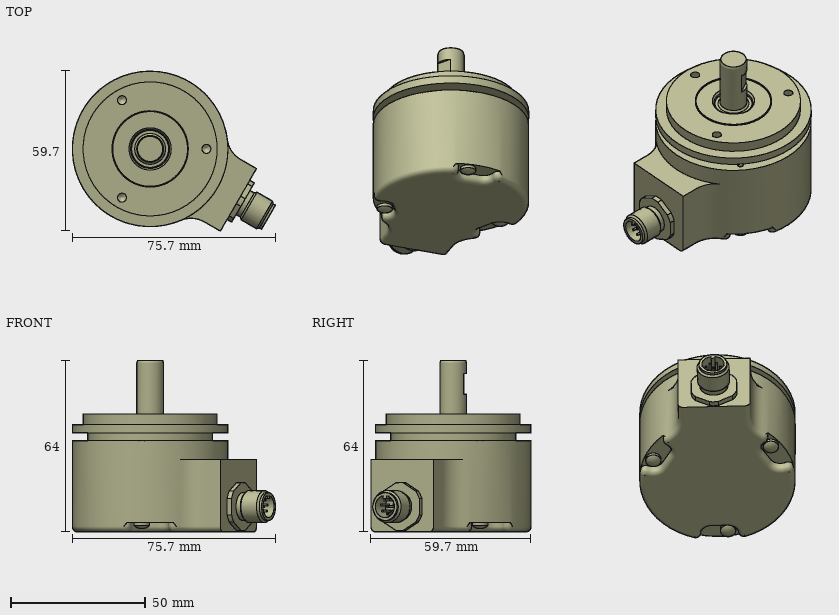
import cadquery as cq
import math


POCKET_ROOF_Z = 3.5
CONNECTOR_Z = 9.5
BLOCK_TOP_Z = 27.1
HOUSING_TOP_Z = 34.1
GROOVE_TOP_Z = 37.0
DISC_TOP_Z = 40.0
FLANGE_TOP_Z = 44.0
SHAFT_TOP_Z = 64.0

BODY_R = 29.0
GROOVE_R = 23.3
FLANGE_R = 25.0
SHAFT_R = 5.0

SHAFT_TIP_R = 4.7
SHAFT_CHAMFER_HEIGHT = 1.0
COLLAR_R = 5.75
COLLAR_HEIGHT = 0.7
FLAT_DEPTH = 1.0
FLAT_LENGTH = 7.6
FLAT_TOP_Z = SHAFT_TOP_Z - 5.0

RECESS_R = 6.9
RECESS_MOUTH_R = 7.9
RECESS_DEPTH = 1.3
RECESS_STEP_R = 7.3
RECESS_STEP_DEPTH = 1.0
RING_GROOVE_OUTER_R = 14.25
RING_GROOVE_INNER_R = 13.95
RING_GROOVE_DEPTH = 0.3

MOUNT_COUNT = 3
MOUNT_CIRCLE_R = 21.0
MOUNT_HOLE_R = 1.7
MOUNT_HOLE_DEPTH = 10.0
DRILL_TIP_ANGLE = 118.0

BLOCK_ANGLE = -30.0
BLOCK_REACH = 38.0
BLOCK_HALF_WIDTH = 13.5
BLOCK_BLEND_R = 10.0
BOTTOM_FILLET_R = 2.0

POCKET_ANGLES = (60.0, 180.0, 300.0)
POCKET_HALF_WIDTH = 7.05
POCKET_WALL_R = 21.6
POCKET_CORNER_R = 4.2
POCKET_MOUTH_R = 2.05
MOUTH_TOP_HALF_WIDTH = 8.7
MOUTH_LOW_HALF_WIDTH = 9.85
SCREW_OFFSET_ANGLE = -7.0
SCREW_CIRCLE_R = 25.6
SCREW_HEAD_R = 2.9
SCREW_HEAD_EDGE_Z = 2.35
SCREW_HEAD_TIP_Z = 1.2
SCREW_TIP_DIMPLE_R = 1.05
SCREW_TIP_DIMPLE_DEPTH = 0.3

NUT_ACROSS_FLATS = 17.0
NUT_CORNER_R = 9.0
NUT_THICKNESS = 2.0
NUT_TURN_ANGLE = 30.0
PLUG_LENGTH = 12.95
PLUG_R = 6.0
PLUG_NECK_R = 5.2
PLUG_SHOULDER_START = 3.8
PLUG_SHOULDER_END = 12.0
PLUG_CHAMFER = PLUG_R - PLUG_NECK_R
SOCKET_R = 4.1
SOCKET_DEPTH = 7.6
PIN_R = 0.4
PIN_RECESS = 2.0
PIN_CIRCLE_R = 2.7
OUTER_PIN_COUNT = 7
KEY_WIDTH = 1.4
KEY_HEIGHT = 1.0


def cylinder(radius, bottom, top):
    """Upright cylinder on the Z axis between two heights."""
    return cq.Workplane("XY").workplane(offset=bottom).circle(radius).extrude(top - bottom)


def turned(points):
    """Revolve a half section of (radius, height) points about the Z axis."""
    return cq.Workplane("XZ").polyline(points).close().revolve(360, (0, 0, 0), (0, 1, 0))


def polar(radius, angle):
    """Plan position at a radius and an angle in degrees."""
    return radius * math.cos(math.radians(angle)), radius * math.sin(math.radians(angle))


def block_prism(height):
    """Side block pointing along +X, its flanks blended into the round body by arcs."""
    centre_y = BLOCK_HALF_WIDTH + BLOCK_BLEND_R
    centre_x = math.sqrt((BODY_R + BLOCK_BLEND_R) ** 2 - centre_y ** 2)
    centre_angle = math.degrees(math.atan2(centre_y, centre_x))
    body_x, body_y = polar(BODY_R, centre_angle)
    mid_angle = (centre_angle + 180 + 270) / 2
    step_x, step_y = polar(BLOCK_BLEND_R, mid_angle)
    mid_x = centre_x + step_x
    mid_y = centre_y + step_y
    return (
        cq.Workplane("XY")
        .lineTo(body_x, -body_y)
        .threePointArc((mid_x, -mid_y), (centre_x, -BLOCK_HALF_WIDTH))
        .lineTo(BLOCK_REACH, -BLOCK_HALF_WIDTH)
        .lineTo(BLOCK_REACH, BLOCK_HALF_WIDTH)
        .lineTo(centre_x, BLOCK_HALF_WIDTH)
        .threePointArc((mid_x, mid_y), (body_x, body_y))
        .close()
        .extrude(height)
    )


def pocket():
    """Screw pocket opening along +X, with round inner corners."""
    reach = 2 * (BODY_R - POCKET_WALL_R)
    slot = (
        cq.Workplane("XY")
        .center(POCKET_WALL_R + reach / 2, 0)
        .rect(reach, 2 * POCKET_HALF_WIDTH)
        .extrude(POCKET_ROOF_Z)
    )
    return slot.edges("|Z and <X").fillet(POCKET_CORNER_R)


def bottom_rim():
    """Lowest layer of the housing: pockets cut in, bottom edge rounded except at the block face."""
    rim = cylinder(BODY_R, 0, POCKET_ROOF_Z).union(block_prism(POCKET_ROOF_Z))
    for angle in POCKET_ANGLES:
        rim = rim.cut(pocket().rotate((0, 0, 0), (0, 0, 1), angle))
    corner_x = math.sqrt(BODY_R ** 2 - POCKET_HALF_WIDTH ** 2)
    corner_angle = math.degrees(math.atan2(POCKET_HALF_WIDTH, corner_x))
    for angle in POCKET_ANGLES:
        for side in (-1, 1):
            x, y = polar(BODY_R, angle + side * corner_angle)
            corner = cq.selectors.NearestToPointSelector((x, y, POCKET_ROOF_Z / 2))
            rim = rim.edges("|Z").edges(corner).fillet(POCKET_MOUTH_R)
    return rim.faces("<Z").edges("not(>X)").fillet(BOTTOM_FILLET_R)


def mouth_shoulders():
    """Plate above the bottom fillet whose sloping channels narrow each pocket mouth toward its roof."""
    plate = cylinder(BODY_R, BOTTOM_FILLET_R, POCKET_ROOF_Z)
    channel = (
        cq.Workplane("YZ")
        .polyline([
            (-MOUTH_LOW_HALF_WIDTH, BOTTOM_FILLET_R),
            (-MOUTH_TOP_HALF_WIDTH, POCKET_ROOF_Z),
            (MOUTH_TOP_HALF_WIDTH, POCKET_ROOF_Z),
            (MOUTH_LOW_HALF_WIDTH, BOTTOM_FILLET_R),
        ])
        .close()
        .extrude(BODY_R)
    )
    for angle in POCKET_ANGLES:
        plate = plate.cut(channel.rotate((0, 0, 0), (0, 0, 1), angle))
    return plate


def screw_head():
    """Domed screw head hanging from the pocket roof, centred on the Z axis."""
    dome_height = SCREW_HEAD_EDGE_Z - SCREW_HEAD_TIP_Z
    sphere_r = (SCREW_HEAD_R ** 2 + dome_height ** 2) / (2 * dome_height)
    dome_r = SCREW_HEAD_R / 2
    dome_z = SCREW_HEAD_TIP_Z + sphere_r - math.sqrt(sphere_r ** 2 - dome_r ** 2)
    return (
        cq.Workplane("XZ")
        .moveTo(0, POCKET_ROOF_Z)
        .lineTo(SCREW_HEAD_R, POCKET_ROOF_Z)
        .lineTo(SCREW_HEAD_R, SCREW_HEAD_EDGE_Z)
        .threePointArc((dome_r, dome_z), (0, SCREW_HEAD_TIP_Z))
        .close()
        .revolve(360, (0, 0, 0), (0, 1, 0))
    )


def housing():
    """Round housing with the side block toward +X, and a shallow dimple above each screw."""
    body = cylinder(BODY_R, POCKET_ROOF_Z, HOUSING_TOP_Z)
    block = block_prism(BLOCK_TOP_Z - POCKET_ROOF_Z).translate((0, 0, POCKET_ROOF_Z))
    body = body.union(block).union(bottom_rim()).union(mouth_shoulders())
    for angle in POCKET_ANGLES:
        x, y = polar(SCREW_CIRCLE_R, angle + SCREW_OFFSET_ANGLE)
        body = body.union(screw_head().translate((x, y, 0)))
        dimple = cylinder(SCREW_TIP_DIMPLE_R, HOUSING_TOP_Z - SCREW_TIP_DIMPLE_DEPTH, HOUSING_TOP_Z)
        body = body.cut(dimple.translate((x, y, 0)))
    return body


def connector():
    """Nut and plug built upward along Z from the block face; -X becomes the upper side."""
    nut = (
        cq.Workplane("XY")
        .polygon(6, NUT_ACROSS_FLATS, circumscribed=True)
        .extrude(NUT_THICKNESS)
        .rotate((0, 0, 0), (0, 0, 1), NUT_TURN_ANGLE)
        .intersect(cylinder(NUT_CORNER_R, 0, NUT_THICKNESS))
    )
    plug = turned([
        (0, 0),
        (PLUG_NECK_R, 0),
        (PLUG_NECK_R, PLUG_SHOULDER_START),
        (PLUG_R, PLUG_SHOULDER_START + PLUG_CHAMFER),
        (PLUG_R, PLUG_SHOULDER_END - PLUG_CHAMFER),
        (PLUG_NECK_R, PLUG_SHOULDER_END),
        (PLUG_NECK_R, PLUG_LENGTH),
        (0, PLUG_LENGTH),
    ])
    floor = PLUG_LENGTH - SOCKET_DEPTH
    plug = plug.cut(cylinder(SOCKET_R, floor, PLUG_LENGTH))
    pin = cylinder(PIN_R, floor, PLUG_LENGTH - PIN_RECESS)
    plug = plug.union(pin)
    pitch = 360 / OUTER_PIN_COUNT
    for index in range(OUTER_PIN_COUNT):
        x, y = polar(PIN_CIRCLE_R, index * pitch)
        plug = plug.union(pin.translate((x, y, 0)))
    key = (
        cq.Workplane("XY")
        .workplane(offset=floor)
        .center(-SOCKET_R, 0)
        .rect(2 * KEY_HEIGHT, KEY_WIDTH)
        .extrude(SOCKET_DEPTH)
        .intersect(cylinder(PLUG_NECK_R, floor, PLUG_LENGTH))
    )
    return nut.union(plug).union(key)


def flange():
    """Grooved neck, disc and raised flange with its shaft recess and ring groove."""
    body = (
        cylinder(GROOVE_R, HOUSING_TOP_Z, GROOVE_TOP_Z)
        .union(cylinder(BODY_R, GROOVE_TOP_Z, DISC_TOP_Z))
        .union(cylinder(FLANGE_R, DISC_TOP_Z, FLANGE_TOP_Z))
    )
    recess = turned([
        (0, FLANGE_TOP_Z),
        (RECESS_MOUTH_R, FLANGE_TOP_Z),
        (RECESS_STEP_R, FLANGE_TOP_Z - RECESS_STEP_DEPTH),
        (RECESS_R, FLANGE_TOP_Z - RECESS_DEPTH),
        (0, FLANGE_TOP_Z - RECESS_DEPTH),
    ])
    ring_bottom = FLANGE_TOP_Z - RING_GROOVE_DEPTH
    ring = cylinder(RING_GROOVE_OUTER_R, ring_bottom, FLANGE_TOP_Z).cut(
        cylinder(RING_GROOVE_INNER_R, ring_bottom, FLANGE_TOP_Z)
    )
    return body.cut(recess).cut(ring)


def mounting_hole():
    """Drilled hole with a conical end, centred on the Z axis."""
    hole_bottom = FLANGE_TOP_Z - MOUNT_HOLE_DEPTH
    tip_height = MOUNT_HOLE_R / math.tan(math.radians(DRILL_TIP_ANGLE / 2))
    return turned([
        (0, FLANGE_TOP_Z),
        (MOUNT_HOLE_R, FLANGE_TOP_Z),
        (MOUNT_HOLE_R, hole_bottom),
        (0, hole_bottom - tip_height),
    ])


def shaft():
    """Shaft with a tapered tip, a conical collar at its foot and a flat on the +Y side."""
    foot = FLANGE_TOP_Z - RECESS_DEPTH
    body = turned([
        (0, foot),
        (COLLAR_R, foot),
        (SHAFT_R, foot + COLLAR_HEIGHT),
        (SHAFT_R, SHAFT_TOP_Z - SHAFT_CHAMFER_HEIGHT),
        (SHAFT_TIP_R, SHAFT_TOP_Z),
        (0, SHAFT_TOP_Z),
    ])
    flat = cq.Workplane("XY").box(2 * SHAFT_R, 2 * FLAT_DEPTH, FLAT_LENGTH)
    return body.cut(flat.translate((0, SHAFT_R, FLAT_TOP_Z - FLAT_LENGTH / 2)))


plug_connector = (
    connector()
    .rotate((0, 0, 0), (0, 1, 0), 90)
    .translate((BLOCK_REACH, 0, CONNECTOR_Z))
)
lower_part = housing().union(plug_connector).rotate((0, 0, 0), (0, 0, 1), BLOCK_ANGLE)

result = lower_part.union(flange()).union(shaft())
for index in range(MOUNT_COUNT):
    hole_x, hole_y = polar(MOUNT_CIRCLE_R, index * 360 / MOUNT_COUNT)
    result = result.cut(mounting_hole().translate((hole_x, hole_y, 0)))